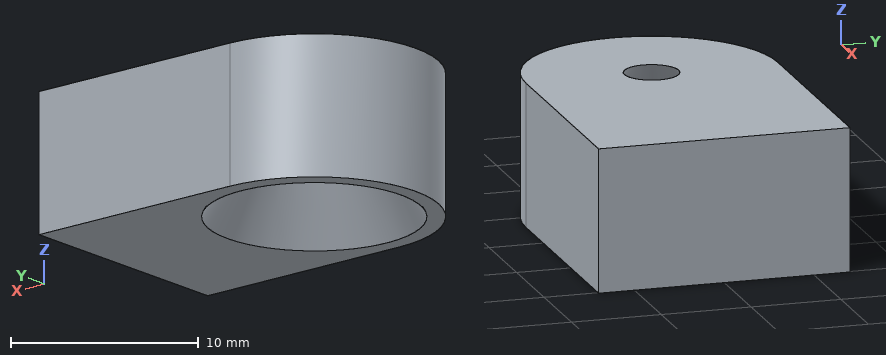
import cadquery as cq

length = 20.27
width = 14.0
height = 8.0

hole_top_diameter = 3.0
hole_bottom_diameter = 12.0

end_radius = width / 2
straight_length = length - end_radius


def rounded_block():
    """Block with a flat end at +X and a half-round end at -X."""
    return (
        cq.Workplane("XY")
        .moveTo(0, -end_radius)
        .lineTo(straight_length, -end_radius)
        .lineTo(straight_length, end_radius)
        .lineTo(0, end_radius)
        .threePointArc((-end_radius, 0), (0, -end_radius))
        .close()
        .extrude(height)
    )


def conical_hole():
    """Cone on the axis of the rounded end, narrowing towards the top face."""
    cone = cq.Solid.makeCone(hole_bottom_diameter / 2, hole_top_diameter / 2, height)
    return cq.Workplane("XY").add(cone)


result = rounded_block().cut(conical_hole())